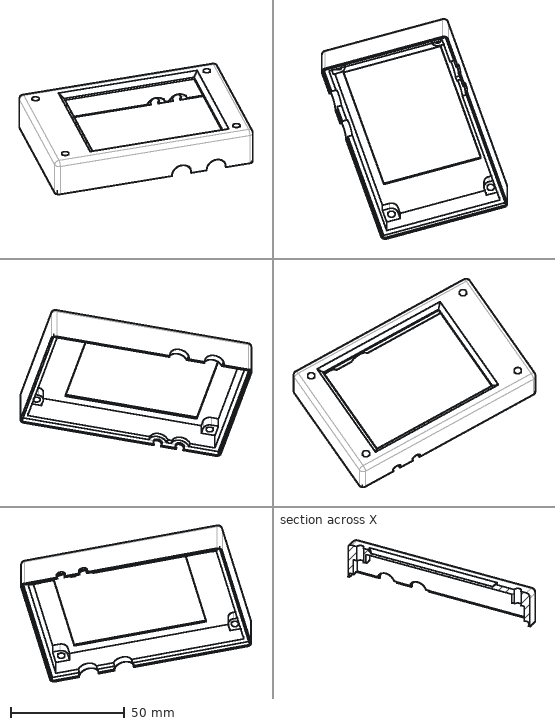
import cadquery as cq

width = 58.5
length = 91.5
height = 16.93
corner_radius = 2.0
wall = 3.0
plate_thickness = 3.0
cavity_width = width - 2 * wall
cavity_length = length - 2 * wall
cavity_height = height - plate_thickness

lip_height = 2.0
lip_thickness_top = 1.0
lip_thickness_bottom = 0.85

window_width = 45.0
window_length = 60.0
window_center_y = 3.5
window_bevel = 2.0

screw_diameter = 3.2
screw_spacing_x = 46.0
screw_spacing_y = 79.0
boss_radius = 3.0
boss_height = 4.5

small_notch_radius = 2.0
small_notch_center_z = 1.25
small_notch_centers_y = (27.3, 17.15)

large_notch_radius = 4.4
large_notch_center_z = 0.4
large_notch_centers_y = (28.4, 12.4)


def box_on_base(size_x, size_y, size_z):
    """Box centered in X and Y that stands on Z = 0."""
    return cq.Workplane("XY").box(size_x, size_y, size_z, centered=(True, True, False))


def tapered_block(bottom_size, top_size, block_height):
    """Block on Z = 0 that changes from one rectangle to another over its height."""
    return (
        cq.Workplane("XY")
        .rect(*bottom_size)
        .workplane(offset=block_height)
        .rect(*top_size)
        .loft(ruled=True)
    )


def inset_size(offset):
    """Outer X and Y size reduced by an offset on every side."""
    return (width - 2 * offset, length - 2 * offset)


def make_shell():
    """Rounded box with its cavity and the rabbet inside the bottom rim."""
    body = box_on_base(width, length, height)
    body = body.edges("|Z").fillet(corner_radius)
    body = body.faces(">Z").edges().fillet(corner_radius)
    cavity = box_on_base(cavity_width, cavity_length, cavity_height)
    rabbet = tapered_block(inset_size(lip_thickness_bottom), inset_size(lip_thickness_top), lip_height)
    return body.cut(cavity).cut(rabbet)


def make_boss(side_x, side_y):
    """Round boss joined by straight webs to both walls of the corner (side_x, side_y)."""
    center_x = side_x * screw_spacing_x / 2
    center_y = side_y * screw_spacing_y / 2
    reach_x = (cavity_width - screw_spacing_x) / 2
    reach_y = (cavity_length - screw_spacing_y) / 2
    base = cq.Workplane("XY", origin=(center_x, center_y, cavity_height - boss_height))
    boss = base.circle(boss_radius).extrude(boss_height)
    web_x = base.center(side_x * reach_x / 2, 0).rect(reach_x, 2 * boss_radius).extrude(boss_height)
    web_y = base.center(0, side_y * reach_y / 2).rect(2 * boss_radius, reach_y).extrude(boss_height)
    return boss.union(web_x).union(web_y)


def make_window():
    """Cutter for the window: a straight opening that widens at the top."""
    opening = box_on_base(window_width, window_length, height)
    bevel = tapered_block(
        (window_width, window_length),
        (window_width + 2 * window_bevel, window_length + 2 * window_bevel),
        window_bevel,
    ).translate((0, 0, height - window_bevel))
    return opening.union(bevel).translate((0, window_center_y, 0))


def make_screw_holes():
    return (
        cq.Workplane("XY")
        .rect(screw_spacing_x, screw_spacing_y, forConstruction=True)
        .vertices()
        .circle(screw_diameter / 2)
        .extrude(height)
    )


def make_notches(start_x, depth, radius, center_z, centers_y):
    """Row of round cutters that run along +X from X = start_x."""
    return (
        cq.Workplane("YZ", origin=(start_x, 0, 0))
        .pushPoints([(center_y, center_z) for center_y in centers_y])
        .circle(radius)
        .extrude(depth)
    )


small_notches = make_notches(
    -width / 2, wall, small_notch_radius, small_notch_center_z, small_notch_centers_y
)
small_notch_reliefs = make_notches(
    -width / 2 + lip_thickness_top,
    wall - lip_thickness_top,
    large_notch_radius,
    large_notch_center_z,
    small_notch_centers_y,
)
large_notches = make_notches(
    width / 2 - wall, wall, large_notch_radius, large_notch_center_z, large_notch_centers_y
)

result = make_shell()
for side_x in (-1, 1):
    for side_y in (-1, 1):
        result = result.union(make_boss(side_x, side_y))
result = result.cut(make_window()).cut(make_screw_holes())
result = result.cut(small_notches).cut(small_notch_reliefs).cut(large_notches)